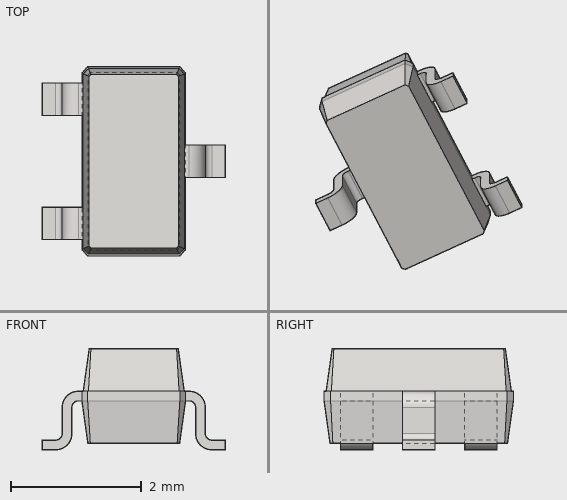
import cadquery as cq

lead_span = 2.8
lead_thickness = 0.15
lead_width = 0.5
lead_pitch = 1.9
inner_bend_radius = 0.1
outer_bend_radius = inner_bend_radius + lead_thickness
foot_flat_length = 0.205

body_width = 1.59
body_length = 2.9
corner_cut_x = 0.09
corner_cut_y = 0.102
draft_angle = 8
standoff = 0.1
half_height = 0.65
band_height = lead_thickness
upper_step_x = 0.02
upper_step_y = 0.032
upper_corner_cut = 0.08

band_bottom = standoff + half_height
band_top = band_bottom + band_height


def cut_corner_prism(width, length, cut_x, cut_y, base_z, height, taper=0):
    """Extrude a rectangle with cut corners; a negative height extrudes down."""
    x, y = width / 2, length / 2
    outline = [
        (x - cut_x, -y),
        (x, -y + cut_y),
        (x, y - cut_y),
        (x - cut_x, y),
        (-x + cut_x, y),
        (-x, y - cut_y),
        (-x, -y + cut_y),
        (-x + cut_x, -y),
    ]
    sketch = cq.Workplane("XY").workplane(offset=base_z).polyline(outline).close()
    return sketch.extrude(height, taper=taper)


def gull_wing_lead(y_center):
    """Lead on the +X side, reaching from inside the body down to its foot."""
    root_x = body_width / 4
    end_x = lead_span / 2
    foot_bend_x = end_x - foot_flat_length
    shank_outer_x = foot_bend_x - inner_bend_radius
    shank_inner_x = shank_outer_x - lead_thickness
    shoulder_bend_x = shank_outer_x - outer_bend_radius
    profile = (
        cq.Workplane("XZ", origin=(0, y_center + lead_width / 2, 0))
        .moveTo(root_x, band_top)
        .lineTo(shoulder_bend_x, band_top)
        .radiusArc((shank_outer_x, band_top - outer_bend_radius), outer_bend_radius)
        .lineTo(shank_outer_x, outer_bend_radius)
        .radiusArc((foot_bend_x, lead_thickness), -inner_bend_radius)
        .lineTo(end_x, lead_thickness)
        .lineTo(end_x, 0)
        .lineTo(foot_bend_x, 0)
        .radiusArc((shank_inner_x, outer_bend_radius), outer_bend_radius)
        .lineTo(shank_inner_x, band_top - outer_bend_radius)
        .radiusArc((shoulder_bend_x, band_bottom), -inner_bend_radius)
        .lineTo(root_x, band_bottom)
        .close()
    )
    return profile.extrude(lead_width)


band = cut_corner_prism(
    body_width, body_length, corner_cut_x, corner_cut_y, band_bottom, band_height
)
lower_half = cut_corner_prism(
    body_width, body_length, corner_cut_x, corner_cut_y, band_bottom, -half_height, draft_angle
)
upper_half = cut_corner_prism(
    body_width - 2 * upper_step_x,
    body_length - 2 * upper_step_y,
    upper_corner_cut,
    upper_corner_cut,
    band_top,
    half_height,
    draft_angle,
)
result = band.union(lower_half).union(upper_half)

result = result.union(gull_wing_lead(0))
for y_center in (-lead_pitch / 2, lead_pitch / 2):
    result = result.union(gull_wing_lead(y_center).mirror("YZ"))